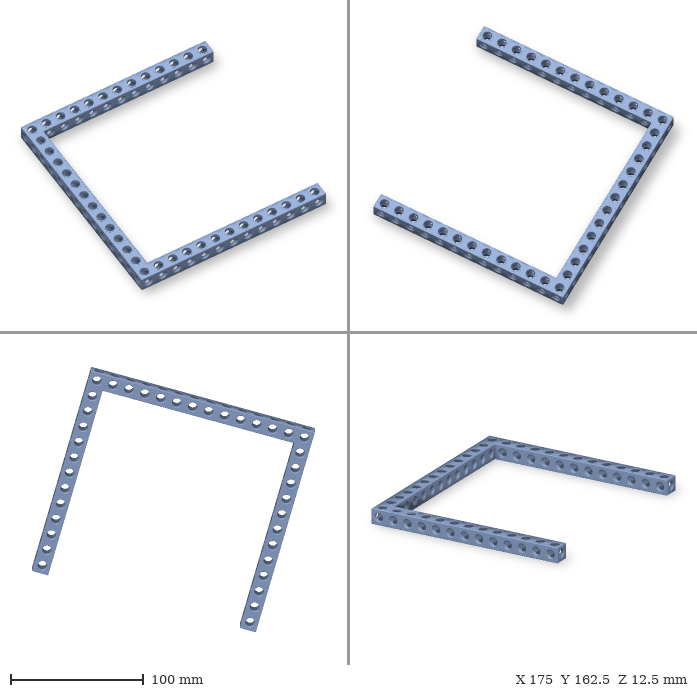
import cadquery as cq

pitch = 12.5
holes_along_x = 14
holes_along_y = 13
hole_diameter = 7.0
edge_chamfer = 0.3
rim_width = 1.1
recess_depth = 0.2

length_x = holes_along_x * pitch
length_y = holes_along_y * pitch
hole_radius = hole_diameter / 2
rim_radius = hole_radius + rim_width
mid_height = pitch / 2

x_direction = cq.Vector(1, 0, 0)
y_direction = cq.Vector(0, 1, 0)
z_direction = cq.Vector(0, 0, 1)


def hole_center(index):
    return (index + 0.5) * pitch


def frame_prism(inset, bottom, height):
    """Prism of the U outline, moved inward on all sides by the inset."""
    left, right = inset, length_x - inset
    front, back = inset, length_y - inset
    inner_left, inner_right = pitch - inset, length_x - pitch + inset
    inner_front = pitch - inset
    outline = [
        (left, front),
        (right, front),
        (right, back),
        (inner_right, back),
        (inner_right, inner_front),
        (inner_left, inner_front),
        (inner_left, back),
        (left, back),
    ]
    return cq.Workplane("XY", origin=(0, 0, bottom)).polyline(outline).close().extrude(height)


def mouth_cone(mouth, inward):
    """Cutter that chamfers a hole mouth on a face, tapering inward."""
    return cq.Solid.makeCone(hole_radius + edge_chamfer, hole_radius, edge_chamfer, mouth, inward)


def hole_cutters(start, direction, bar_length, walls):
    """A straight hole, chamfered where it enters and leaves each wall.

    The walls are (near, far) distances from the start along the direction.
    """
    cutters = [cq.Solid.makeCylinder(hole_radius, bar_length, start, direction)]
    for near, far in walls:
        cutters.append(mouth_cone(start + direction * near, direction))
        cutters.append(mouth_cone(start + direction * far, direction * -1))
    return cutters


def holes_along_y_cutters():
    cutters = []
    for i in range(holes_along_x):
        in_arm = i in (0, holes_along_x - 1)
        walls = [(0, length_y)] if in_arm else [(0, pitch)]
        start = cq.Vector(hole_center(i), 0, mid_height)
        cutters += hole_cutters(start, y_direction, length_y, walls)
    return cutters


def holes_along_x_cutters():
    cutters = []
    for j in range(holes_along_y):
        in_base = j == 0
        walls = [(0, length_x)] if in_base else [(0, pitch), (length_x - pitch, length_x)]
        start = cq.Vector(0, hole_center(j), mid_height)
        cutters += hole_cutters(start, x_direction, length_x, walls)
    return cutters


def vertical_hole_centers():
    base = [(hole_center(i), hole_center(0)) for i in range(holes_along_x)]
    arms = [
        (hole_center(i), hole_center(j))
        for i in (0, holes_along_x - 1)
        for j in range(1, holes_along_y)
    ]
    return base + arms


def vertical_hole_cutters():
    cutters = []
    for x, y in vertical_hole_centers():
        cutters += hole_cutters(cq.Vector(x, y, 0), z_direction, pitch, [(0, pitch)])
    return cutters


def top_recess():
    """Shallow pocket in the top face that leaves the edge and hole rims standing."""
    floor = pitch - recess_depth
    rims = [
        cq.Solid.makeCylinder(rim_radius, recess_depth, cq.Vector(x, y, floor), z_direction)
        for x, y in vertical_hole_centers()
    ]
    return frame_prism(rim_width, floor, recess_depth).val().cut(*rims)


frame = frame_prism(0, 0, pitch).edges().chamfer(edge_chamfer).val()
frame = frame.cut(*holes_along_y_cutters(), *holes_along_x_cutters(), *vertical_hole_cutters())
frame = frame.cut(top_recess())

result = cq.Workplane(frame)